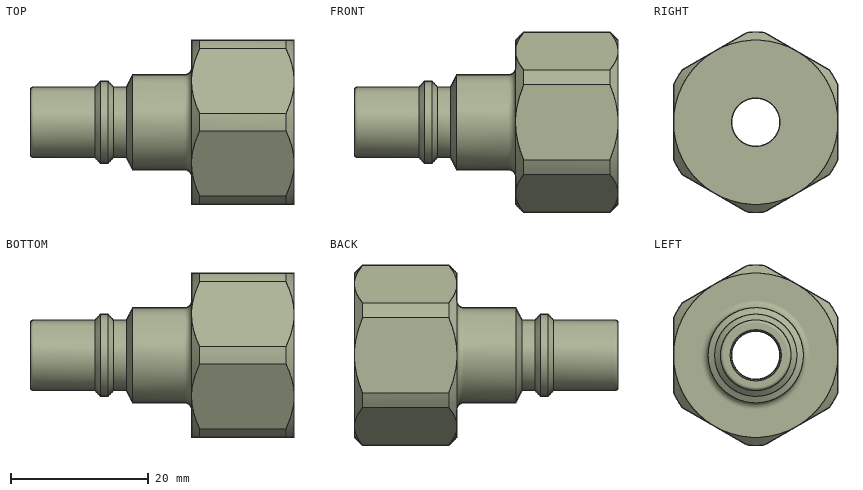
import cadquery as cq
import math

TOTAL_LENGTH = 38.5
TIP_FILLET = 0.45
COLLAR_START = 9.45
COLLAR_CREST_START = 10.25
COLLAR_CREST_END = 11.3
COLLAR_END = 12.13
SHOULDER_START = 14.0
SHOULDER_END = 14.95
HEX_START = 23.52

BORE_DIAMETER = 7.0
PLUG_DIAMETER = 10.3
COLLAR_DIAMETER = 12.0
BODY_DIAMETER = 13.9
HEX_CORNER_DIAMETER = 26.37

HEX_FLATS = 24.0
ROOT_FILLET = 1.0
BORE_CHAMFER = 0.25


def make_stem():
    """Turned plug with collar, shoulder and filleted root."""
    plug = PLUG_DIAMETER / 2
    collar = COLLAR_DIAMETER / 2
    body = BODY_DIAMETER / 2
    arc_mid = ROOT_FILLET * math.sqrt(0.5)
    fillet_start = HEX_START - ROOT_FILLET
    fillet_top = body + ROOT_FILLET
    profile = (
        cq.Workplane("XY")
        .moveTo(0, 0)
        .lineTo(0, plug - TIP_FILLET)
        .radiusArc((TIP_FILLET, plug), TIP_FILLET)
        .lineTo(COLLAR_START, plug)
        .lineTo(COLLAR_CREST_START, collar)
        .lineTo(COLLAR_CREST_END, collar)
        .lineTo(COLLAR_END, plug)
        .lineTo(SHOULDER_START, plug)
        .lineTo(SHOULDER_END, body)
        .lineTo(fillet_start, body)
        .threePointArc((fillet_start + arc_mid, fillet_top - arc_mid), (HEX_START, fillet_top))
        .lineTo(HEX_START, 0)
        .close()
    )
    return profile.revolve(360, (0, 0, 0), (1, 0, 0))


def make_hex():
    """Hexagon with rounded corners and 45-degree chamfers at both ends."""
    length = TOTAL_LENGTH - HEX_START
    corner_chamfer = (HEX_CORNER_DIAMETER - HEX_FLATS) / 2
    plane = cq.Workplane("YZ", origin=(HEX_START, 0, 0))
    prism = plane.polygon(6, HEX_FLATS, circumscribed=True).extrude(length)
    envelope = (
        plane.circle(HEX_CORNER_DIAMETER / 2)
        .extrude(length)
        .faces("<X or >X")
        .chamfer(corner_chamfer)
    )
    return prism.intersect(envelope)


def make_bore():
    """Through bore with a small chamfer at the plug tip."""
    radius = BORE_DIAMETER / 2
    profile = (
        cq.Workplane("XY")
        .moveTo(0, 0)
        .lineTo(0, radius + BORE_CHAMFER)
        .lineTo(BORE_CHAMFER, radius)
        .lineTo(TOTAL_LENGTH, radius)
        .lineTo(TOTAL_LENGTH, 0)
        .close()
    )
    return profile.revolve(360, (0, 0, 0), (1, 0, 0))


result = make_stem().union(make_hex()).cut(make_bore())